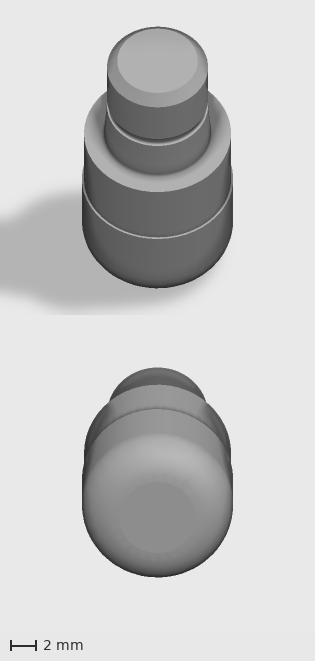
import cadquery as cq
import math

TOTAL_HEIGHT = 24.0
CAP_RIM_Z = 8.5
SPLIT_Z = 9.9
SHOULDER_Z = 14.45
NECK_TOP_Z = 18.1
GROOVE_TOP_Z = 19.0

CAP_RADIUS = 6.0
COLLAR_RADIUS = 5.83
NECK_BOTTOM_RADIUS = 4.22
HEAD_RADIUS = 4.0
GROOVE_RADIUS = 3.75

CAP_FILLET = 3.0
NECK_FILLET = 0.25
GROOVE_FILLET = 0.2
GROOVE_FLANK_HEIGHT = 0.43
HEAD_CHAMFER = 0.82


def revolve_profile(profile):
    """Turn a closed half outline (radius, height) around the Z axis."""
    return profile.close().revolve(360, (0, 0, 0), (0, 1, 0))


def make_cap():
    """Round-bottomed cap whose narrower spigot continues the stud's collar."""
    corner_center_radius = CAP_RADIUS - CAP_FILLET
    arc_offset = CAP_FILLET * math.sqrt(0.5)
    profile = (
        cq.Workplane("XZ")
        .lineTo(corner_center_radius, 0)
        .threePointArc(
            (corner_center_radius + arc_offset, CAP_FILLET - arc_offset),
            (CAP_RADIUS, CAP_FILLET),
        )
        .lineTo(CAP_RADIUS, CAP_RIM_Z)
        .lineTo(COLLAR_RADIUS, CAP_RIM_Z)
        .lineTo(COLLAR_RADIUS, SPLIT_Z)
        .lineTo(0, SPLIT_Z)
    )
    return revolve_profile(profile)


def concave_arc(profile, outer_radius, bottom_z, fillet):
    """Add a quarter arc that rises inward from a flat face to a narrower wall."""
    inset = fillet * (1 - math.sqrt(0.5))
    inner_radius = outer_radius - fillet
    return profile.threePointArc(
        (inner_radius + inset, bottom_z + inset),
        (inner_radius, bottom_z + fillet),
    )


def make_stud():
    """Collar, tapered neck, groove and chamfered cylindrical head."""
    neck_foot_radius = NECK_BOTTOM_RADIUS + NECK_FILLET
    groove_foot_radius = GROOVE_RADIUS + GROOVE_FILLET

    profile = (
        cq.Workplane("XZ")
        .moveTo(0, SPLIT_Z)
        .lineTo(COLLAR_RADIUS, SPLIT_Z)
        .lineTo(COLLAR_RADIUS, SHOULDER_Z)
        .lineTo(neck_foot_radius, SHOULDER_Z)
    )
    profile = concave_arc(profile, neck_foot_radius, SHOULDER_Z, NECK_FILLET)
    profile = (
        profile
        .lineTo(HEAD_RADIUS, NECK_TOP_Z)
        .lineTo(groove_foot_radius, NECK_TOP_Z)
    )
    profile = concave_arc(profile, groove_foot_radius, NECK_TOP_Z, GROOVE_FILLET)
    profile = (
        profile
        .lineTo(GROOVE_RADIUS, GROOVE_TOP_Z - GROOVE_FLANK_HEIGHT)
        .lineTo(HEAD_RADIUS, GROOVE_TOP_Z)
        .lineTo(HEAD_RADIUS, TOTAL_HEIGHT - HEAD_CHAMFER)
        .lineTo(HEAD_RADIUS - HEAD_CHAMFER, TOTAL_HEIGHT)
        .lineTo(0, TOTAL_HEIGHT)
    )
    return revolve_profile(profile)


cap = make_cap()
stud = make_stud()

result = cq.Compound.makeCompound([cap.val(), stud.val()])